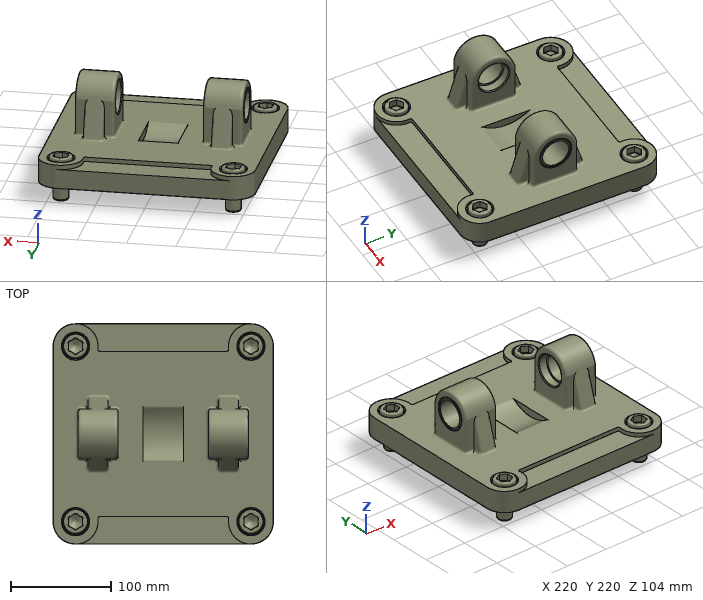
import cadquery as cq
import math

PLATE_SIDE = 220.0
PLATE_THICKNESS = 24.9
SCREW_PITCH = 175.1
SCREW_OFFSET = SCREW_PITCH / 2
CORNER_RADIUS = PLATE_SIDE / 2 - SCREW_OFFSET

RECESS_DEPTH = 4.6
RECESS_WALL_Y = 82.5
RECESS_CORNER_RADIUS = 2.0

PIN_HEIGHT = 60.0
LUG_SPACING = 130.0
LUG_THICKNESS = 40.0
LUG_RADIUS = 25.0
LUG_EDGE_FILLET = 3.0
RIB_THICKNESS = LUG_THICKNESS / 2
RIB_ANGLE = 17.3
RIB_EDGE_FILLET = 3.0
BASE_FILLET = 2.9

POCKET_WIDTH = LUG_THICKNESS
POCKET_RADIUS = 44.0
POCKET_LIP_RADIUS = 3.0

BUSHING_OUTER_DIAMETER = 34.0
BUSHING_BORE = 30.0
BUSHING_LENGTH = 30.0
LUG_BORE_CHAMFER = 1.0

SHANK_DIAMETER = 16.0
SCREW_TIP_Z = -19.0
TIP_CHAMFER_LENGTH = 1.5
TIP_CHAMFER_DEPTH = 0.9
HEAD_DIAMETER = 24.0
HEAD_HEIGHT = SHANK_DIAMETER
HEAD_PROTRUSION = 2.5
HEAD_FILLET = 1.6
SOCKET_FLATS = 14.0
SOCKET_DEPTH = 8.0
SOCKET_CONE_ANGLE = 60.0
COUNTERBORE_DIAMETER = 26.0
COUNTERBORE_CHAMFER = 1.0

HEAD_TOP_Z = PLATE_THICKNESS + HEAD_PROTRUSION
HEAD_SEAT_Z = HEAD_TOP_Z - HEAD_HEIGHT
LUG_CENTERS = [-LUG_SPACING / 2, LUG_SPACING / 2]
SCREW_CENTERS = [(sx * SCREW_OFFSET, sy * SCREW_OFFSET) for sx in (-1, 1) for sy in (-1, 1)]


def slope_half_width(z):
    """Distance in Y, at height z, from the lug centre to the slope tangent to its crown."""
    angle = math.radians(RIB_ANGLE)
    return (LUG_RADIUS - (z - PIN_HEIGHT) * math.sin(angle)) / math.cos(angle)


def x_cylinder(radius, x_start, length):
    """Cylinder around the pin axis, running along +X from x_start."""
    return cq.Workplane("YZ", origin=(x_start, 0, PIN_HEIGHT)).circle(radius).extrude(length)


def x_centered_prism(outline, thickness):
    """Extrude a YZ outline symmetrically about X = 0."""
    return outline.extrude(thickness / 2, both=True)


def plate_blank():
    """Square plate with its four corners rounded about the screw axes."""
    blank = cq.Workplane("XY").rect(PLATE_SIDE, PLATE_SIDE).extrude(PLATE_THICKNESS)
    return blank.edges("|Z").fillet(CORNER_RADIUS)


def edge_recess():
    """Cutter for the +Y recess, which leaves round pads concentric with the corner screws."""
    blend_y = RECESS_WALL_Y + RECESS_CORNER_RADIUS
    reach = CORNER_RADIUS + RECESS_CORNER_RADIUS
    blend_angle = math.asin((SCREW_OFFSET - blend_y) / reach)
    blend_x = SCREW_OFFSET - reach * math.cos(blend_angle)
    middle_angle = (blend_angle - math.pi / 2) / 2

    def blend_point(angle):
        return (
            blend_x + RECESS_CORNER_RADIUS * math.cos(angle),
            blend_y + RECESS_CORNER_RADIUS * math.sin(angle),
        )

    def pad_point(angle):
        return (
            SCREW_OFFSET - CORNER_RADIUS * math.cos(angle),
            SCREW_OFFSET - CORNER_RADIUS * math.sin(angle),
        )

    def mirrored(point):
        return (-point[0], point[1])

    wall_end = (blend_x, RECESS_WALL_Y)
    blend_middle = blend_point(middle_angle)
    blend_end = blend_point(blend_angle)
    pad_middle = pad_point(middle_angle)
    pad_end = (SCREW_OFFSET, PLATE_SIDE / 2)
    outline = (
        cq.Workplane("XY", origin=(0, 0, PLATE_THICKNESS - RECESS_DEPTH))
        .moveTo(*mirrored(wall_end))
        .lineTo(*wall_end)
        .threePointArc(blend_middle, blend_end)
        .threePointArc(pad_middle, pad_end)
        .lineTo(*mirrored(pad_end))
        .threePointArc(mirrored(pad_middle), mirrored(blend_end))
        .threePointArc(mirrored(blend_middle), mirrored(wall_end))
        .close()
    )
    return outline.extrude(RECESS_DEPTH)


def lug():
    """Round-topped lug with a tapering rib on each Y side, centred on X = 0."""
    angle = math.radians(RIB_ANGLE)
    tangent_y = LUG_RADIUS * math.cos(angle)
    tangent_z = PIN_HEIGHT + LUG_RADIUS * math.sin(angle)
    shoulder_z = PIN_HEIGHT + LUG_RADIUS * math.tan(angle / 2)
    foot = slope_half_width(PLATE_THICKNESS)

    body_outline = (
        cq.Workplane("YZ")
        .moveTo(-LUG_RADIUS, PLATE_THICKNESS)
        .lineTo(LUG_RADIUS, PLATE_THICKNESS)
        .lineTo(LUG_RADIUS, shoulder_z)
        .lineTo(tangent_y, tangent_z)
        .threePointArc((0, PIN_HEIGHT + LUG_RADIUS), (-tangent_y, tangent_z))
        .lineTo(-LUG_RADIUS, shoulder_z)
        .close()
    )
    body = x_centered_prism(body_outline, LUG_THICKNESS)
    body = body.faces("<X or >X").edges("not <Z").fillet(LUG_EDGE_FILLET)

    rib_outline = cq.Workplane("YZ").polyline(
        [
            (-foot, PLATE_THICKNESS),
            (foot, PLATE_THICKNESS),
            (LUG_RADIUS, shoulder_z),
            (-LUG_RADIUS, shoulder_z),
        ]
    ).close()
    rib = x_centered_prism(rib_outline, RIB_THICKNESS)
    rib = rib.faces("<X or >X").edges("not #Z").fillet(RIB_EDGE_FILLET)
    return body.union(rib)


def lug_bore(center_x):
    """Cutter for the chamfered bore through a lug."""
    start = center_x - LUG_THICKNESS / 2
    bore_radius = BUSHING_OUTER_DIAMETER / 2
    mouth_radius = bore_radius + LUG_BORE_CHAMFER
    profile = [
        (0, 0),
        (0, mouth_radius),
        (LUG_BORE_CHAMFER, bore_radius),
        (LUG_THICKNESS - LUG_BORE_CHAMFER, bore_radius),
        (LUG_THICKNESS, mouth_radius),
        (LUG_THICKNESS, 0),
    ]
    section = cq.Workplane("XY", origin=(start, 0, PIN_HEIGHT)).polyline(profile).close()
    return section.revolve(360, (0, 0, 0), (1, 0, 0))


def clearance_pocket():
    """Cutter for the arched pocket about the pin axis, with rounded lips at the plate top."""
    lip_center_z = PLATE_THICKNESS - POCKET_LIP_RADIUS
    lip_reach = POCKET_RADIUS + POCKET_LIP_RADIUS
    lip_angle = math.acos((PIN_HEIGHT - lip_center_z) / lip_reach)
    lip_y = lip_reach * math.sin(lip_angle)
    arc_end = (POCKET_RADIUS * math.sin(lip_angle), PIN_HEIGHT - POCKET_RADIUS * math.cos(lip_angle))
    lip_middle = (
        lip_y - POCKET_LIP_RADIUS * math.sin(lip_angle / 2),
        lip_center_z + POCKET_LIP_RADIUS * math.cos(lip_angle / 2),
    )
    outline = (
        cq.Workplane("YZ")
        .moveTo(-lip_y, PLATE_THICKNESS)
        .threePointArc((-lip_middle[0], lip_middle[1]), (-arc_end[0], arc_end[1]))
        .threePointArc((0, PIN_HEIGHT - POCKET_RADIUS), arc_end)
        .threePointArc(lip_middle, (lip_y, PLATE_THICKNESS))
        .close()
    )
    return x_centered_prism(outline, POCKET_WIDTH)


def screw_hole(center):
    """Cutter for a through hole with a chamfered counterbore."""
    bore_radius = COUNTERBORE_DIAMETER / 2
    profile = [
        (0, 0),
        (SHANK_DIAMETER / 2, 0),
        (SHANK_DIAMETER / 2, HEAD_SEAT_Z),
        (bore_radius, HEAD_SEAT_Z),
        (bore_radius, PLATE_THICKNESS - COUNTERBORE_CHAMFER),
        (bore_radius + COUNTERBORE_CHAMFER, PLATE_THICKNESS),
        (0, PLATE_THICKNESS),
    ]
    hole = cq.Workplane("XZ").polyline(profile).close().revolve(360, (0, 0, 0), (0, 1, 0))
    return hole.translate((*center, 0))


def make_bracket():
    """Plate with its two lugs."""
    bracket = plate_blank()
    for center_x in LUG_CENTERS:
        bracket = bracket.union(lug().translate((center_x, 0, 0)))

    reach_x = LUG_THICKNESS / 2 + BASE_FILLET
    reach_y = slope_half_width(PLATE_THICKNESS) + BASE_FILLET
    slack = 0.02
    for center_x in LUG_CENTERS:
        footprint = cq.selectors.BoxSelector(
            (center_x - reach_x, -reach_y, PLATE_THICKNESS - slack),
            (center_x + reach_x, reach_y, PLATE_THICKNESS + slack),
        )
        bracket = bracket.edges(footprint).fillet(BASE_FILLET)

    for center_x in LUG_CENTERS:
        bracket = bracket.cut(lug_bore(center_x))
    bracket = bracket.cut(clearance_pocket())
    for center in SCREW_CENTERS:
        bracket = bracket.cut(screw_hole(center))

    recess = edge_recess()
    for cutter in (recess, recess.mirror("XZ")):
        bracket = bracket.cut(cutter, clean=False)
    return bracket


def make_bushing(center_x):
    """Plain sleeve, flush with the outer face of its lug."""
    outward = math.copysign(1, center_x)
    outer_face = center_x + outward * LUG_THICKNESS / 2
    start = outer_face - BUSHING_LENGTH if outward > 0 else outer_face
    sleeve = x_cylinder(BUSHING_OUTER_DIAMETER / 2, start, BUSHING_LENGTH)
    return sleeve.cut(x_cylinder(BUSHING_BORE / 2, start, BUSHING_LENGTH))


def make_screw(center):
    """Socket head cap screw with a chamfered tip and a drilled hexagon socket."""
    shank_radius = SHANK_DIAMETER / 2
    head = (
        cq.Workplane("XY", origin=(0, 0, HEAD_SEAT_Z))
        .circle(HEAD_DIAMETER / 2)
        .extrude(HEAD_HEIGHT)
        .faces(">Z")
        .edges()
        .fillet(HEAD_FILLET)
    )
    shank_profile = [
        (0, SCREW_TIP_Z),
        (shank_radius - TIP_CHAMFER_DEPTH, SCREW_TIP_Z),
        (shank_radius, SCREW_TIP_Z + TIP_CHAMFER_LENGTH),
        (shank_radius, HEAD_SEAT_Z),
        (0, HEAD_SEAT_Z),
    ]
    shank = cq.Workplane("XZ").polyline(shank_profile).close().revolve(360, (0, 0, 0), (0, 1, 0))

    corner_radius = SOCKET_FLATS / math.sqrt(3)
    floor_z = HEAD_TOP_Z - SOCKET_DEPTH
    cone_depth = corner_radius / math.tan(math.radians(SOCKET_CONE_ANGLE))
    hexagon = (
        cq.Workplane("XY", origin=(0, 0, floor_z))
        .polygon(6, 2 * corner_radius)
        .extrude(SOCKET_DEPTH)
        .rotate((0, 0, 0), (0, 0, 1), 30)
    )
    drill_point = (
        cq.Workplane("XZ")
        .polyline([(0, floor_z), (corner_radius, floor_z), (0, floor_z - cone_depth)])
        .close()
        .revolve(360, (0, 0, 0), (0, 1, 0))
    )
    screw = head.union(shank).cut(hexagon).cut(drill_point)
    return screw.translate((*center, 0))


bracket = make_bracket()
bushings = [make_bushing(center_x) for center_x in LUG_CENTERS]
screws = [make_screw(center) for center in SCREW_CENTERS]

result = cq.Compound.makeCompound(
    [bracket.val(), *[bushing.val() for bushing in bushings], *[screw.val() for screw in screws]]
)